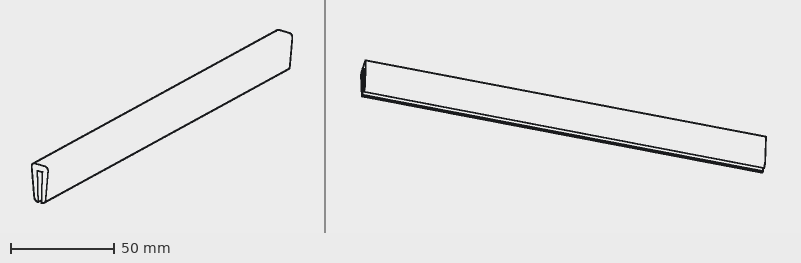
import math

import cadquery as cq

WIDTH = 10.0
LENGTH = 200.0
HEIGHT = 20.0

HEAD_RADIUS = 2.0
TIP_RADIUS = 2.5

ROOF_THICKNESS = 3.5
SLOT_TOP_WIDTH = 3.0
SLOT_MOUTH_WIDTH = 2.0

HEAD_HALF = WIDTH / 2
SLOT_TOP_HALF = SLOT_TOP_WIDTH / 2
MOUTH_HALF = SLOT_MOUTH_WIDTH / 2
TIP_HALF = MOUTH_HALF + TIP_RADIUS
TOP_Z = HEIGHT / 2
BOTTOM_Z = -HEIGHT / 2
SHOULDER_Z = TOP_Z - HEAD_RADIUS
TIP_Z = BOTTOM_Z + TIP_RADIUS
ROOF_Z = TOP_Z - ROOF_THICKNESS


def on_circle(center, radius, degrees):
    """Point on a circle, with the angle counted from +X towards +Z."""
    angle = math.radians(degrees)
    return (center[0] + radius * math.cos(angle), center[1] + radius * math.sin(angle))


def half_section():
    """Right half of the section in X and Z, closed along the plane of symmetry."""
    head_center = (HEAD_HALF - HEAD_RADIUS, SHOULDER_Z)
    tip_center = (MOUTH_HALF, TIP_Z)
    return (
        cq.Workplane("XZ")
        .moveTo(0, TOP_Z)
        .lineTo(HEAD_HALF - HEAD_RADIUS, TOP_Z)
        .threePointArc(on_circle(head_center, HEAD_RADIUS, 45), (HEAD_HALF, SHOULDER_Z))
        .lineTo(TIP_HALF, TIP_Z)
        .threePointArc(on_circle(tip_center, TIP_RADIUS, -45), (MOUTH_HALF, BOTTOM_Z))
        .lineTo(SLOT_TOP_HALF, ROOF_Z)
        .lineTo(0, ROOF_Z)
        .close()
    )


half_clip = half_section().extrude(LENGTH / 2, both=True)
result = half_clip.union(half_clip.mirror("YZ")).clean()